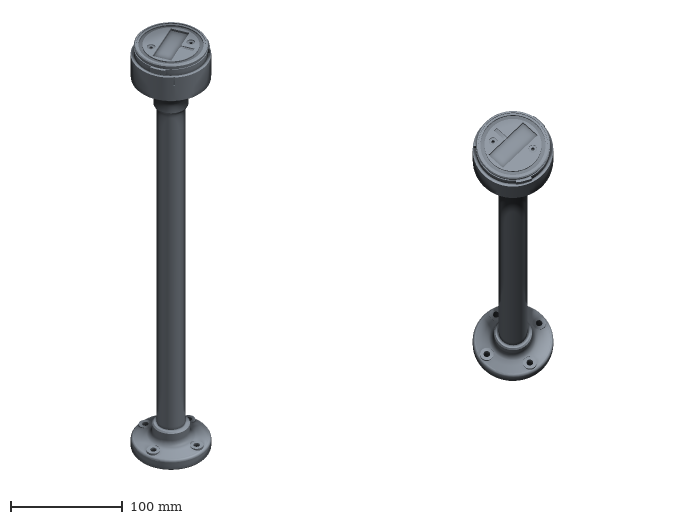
import cadquery as cq
import math

TOTAL_HEIGHT = 448.5
FLANGE_R = 72.0 / 2
POLE_DIA = 25.5
SOCKET_DEPTH = 13.5

BASE_BOTTOM_R = 70.5 / 2
BASE_BOTTOM_CHAMFER_HEIGHT = 1.5
BASE_EDGE_RADIUS = 2.5
BASE_CONE_R = FLANGE_R - BASE_EDGE_RADIUS
BASE_CONE_Z = 11.0
BASE_FLARE_R = 22.0
BASE_FLARE_Z = 14.0
BASE_NECK_R = 34.0 / 2
BASE_NECK_Z = 19.7
BASE_TOP_Z = 28.0
BASE_TOP_CHAMFER = 1.5

SCREW_SEAT_COUNT = 4
SCREW_SEAT_CIRCLE_R = 28.0
SCREW_SEAT_DIA = 12.0
SCREW_SEAT_Z = 13.5
SCREW_HOLE_DIA = 6.0

HEAD_BOTTOM_Z = 380.0
HEAD_BOTTOM_CHAMFER = 1.5
HEAD_CHAMFER_Z = 382.5
HEAD_NECK_R = 15.5
HEAD_NECK_TOP_Z = 392.5
FLARE_TOP_R = 34.0
FLARE_TOP_Z = 409.5
HEAD_LIP_STEP = 0.22
HEAD_LIP_BOTTOM_Z = 411.0
HEAD_LIP_TOP_Z = 413.5
SHOULDER_Z = 437.0
CAP_R = 66.5 / 2
CAP_CHAMFER = 1.0
WAIST_R = 65.0 / 2
WAIST_BOTTOM_Z = 444.0
WAIST_TOP_Z = 446.0

INDEX_X = 23.0
INDEX_WIDTH = 1.5
INDEX_LENGTH = 9.0
INDEX_DEPTH = 1.0

LUG_COUNT = 3
LUG_R = 70.0 / 2
LUG_START_ANGLE = 32.0
LUG_SPAN = 24.0
LUG_BOTTOM_Z = 439.0
LUG_STOP_R = 70.5 / 2
LUG_STOP_SPAN = 6.0

FACE_TILT = 13.0
RIM_INNER_DIA = 62.5
FACE_DEPTH = 1.0
RING_OUTER_DIA = 58.5
RING_INNER_DIA = 51.0
RING_DEPTH = 1.5
WINDOW_WIDTH = 18.0
WINDOW_LENGTH = 44.5
WINDOW_DEPTH = 2.2
CHANNEL_END = 22.0
CHANNEL_WIDTH = 3.5
CHANNEL_DEPTH = 1.0
FACE_HOLE_ACROSS = 15.2
FACE_HOLE_ALONG = 10.0
FACE_BORE_DIA = 7.5
FACE_BORE_DEPTH = 1.0
FACE_HOLE_DIA = 3.1
FACE_HOLE_DEPTH = 4.5

FACE_Z = TOTAL_HEIGHT - FACE_DEPTH
HALF_DIAGONAL = math.sqrt(0.5)


def cylinder(diameter, bottom_z, top_z, x=0, y=0):
    return cq.Workplane("XY", origin=(x, y, bottom_z)).circle(diameter / 2).extrude(top_z - bottom_z)


def tube(outer_dia, inner_dia, bottom_z, top_z):
    return cylinder(outer_dia, bottom_z, top_z).cut(cylinder(inner_dia, bottom_z, top_z))


def quarter_point(center_r, center_z, radius_r, radius_z):
    """Middle of a quarter arc; signed radii choose the quadrant."""
    return (center_r + radius_r * HALF_DIAGONAL, center_z + radius_z * HALF_DIAGONAL)


def revolve_about_z(profile):
    """Revolve a closed R-Z outline around the Z axis."""
    return profile.close().revolve(360, (0, 0, 0), (0, 1, 0))


def make_base():
    edge_z = BASE_CONE_Z - BASE_EDGE_RADIUS
    edge_middle = quarter_point(BASE_CONE_R, edge_z, BASE_EDGE_RADIUS, BASE_EDGE_RADIUS)
    flare_middle = quarter_point(
        BASE_FLARE_R, BASE_NECK_Z, BASE_NECK_R - BASE_FLARE_R, BASE_FLARE_Z - BASE_NECK_Z
    )
    base = revolve_about_z(
        cq.Workplane("XZ")
        .moveTo(0, 0)
        .lineTo(BASE_BOTTOM_R, 0)
        .lineTo(FLANGE_R, BASE_BOTTOM_CHAMFER_HEIGHT)
        .lineTo(FLANGE_R, edge_z)
        .threePointArc(edge_middle, (BASE_CONE_R, BASE_CONE_Z))
        .lineTo(BASE_FLARE_R, BASE_FLARE_Z)
        .threePointArc(flare_middle, (BASE_NECK_R, BASE_NECK_Z))
        .lineTo(BASE_NECK_R, BASE_TOP_Z - BASE_TOP_CHAMFER)
        .lineTo(BASE_NECK_R - BASE_TOP_CHAMFER, BASE_TOP_Z)
        .lineTo(0, BASE_TOP_Z)
    )
    for index in range(SCREW_SEAT_COUNT):
        angle = 2 * math.pi * index / SCREW_SEAT_COUNT
        base = add_screw_seat(
            base, SCREW_SEAT_CIRCLE_R * math.cos(angle), SCREW_SEAT_CIRCLE_R * math.sin(angle)
        )
    return base.cut(cylinder(POLE_DIA, BASE_TOP_Z - SOCKET_DEPTH, BASE_TOP_Z))


def add_screw_seat(base, x, y):
    """Flat round seat, level with or cut into the flange, with a through hole."""
    boss = cylinder(SCREW_SEAT_DIA, BASE_BOTTOM_CHAMFER_HEIGHT, SCREW_SEAT_Z, x, y)
    clearance = cylinder(SCREW_SEAT_DIA, SCREW_SEAT_Z, BASE_NECK_Z, x, y)
    hole = cylinder(SCREW_HOLE_DIA, 0, SCREW_SEAT_Z, x, y)
    return base.union(boss).cut(clearance).cut(hole)


def make_pole():
    return cylinder(POLE_DIA, BASE_TOP_Z - SOCKET_DEPTH, HEAD_BOTTOM_Z + SOCKET_DEPTH)


def make_head():
    head = make_head_blank()
    for index in range(LUG_COUNT):
        start_angle = LUG_START_ANGLE + 360 * index / LUG_COUNT
        stop_angle = start_angle + LUG_SPAN - LUG_STOP_SPAN
        head = head.union(make_ring_sector(LUG_R, start_angle, LUG_SPAN))
        head = head.union(make_ring_sector(LUG_STOP_R, stop_angle, LUG_STOP_SPAN))
    head = head.cut(make_index_slot())
    head = head.cut(make_face_cuts())
    return head.cut(cylinder(POLE_DIA, HEAD_BOTTOM_Z, HEAD_BOTTOM_Z + SOCKET_DEPTH))


def make_head_blank():
    flare_middle = quarter_point(
        FLARE_TOP_R, HEAD_NECK_TOP_Z, HEAD_NECK_R - FLARE_TOP_R, FLARE_TOP_Z - HEAD_NECK_TOP_Z
    )
    return revolve_about_z(
        cq.Workplane("XZ")
        .moveTo(0, HEAD_BOTTOM_Z)
        .lineTo(HEAD_NECK_R - HEAD_BOTTOM_CHAMFER, HEAD_BOTTOM_Z)
        .lineTo(HEAD_NECK_R, HEAD_CHAMFER_Z)
        .lineTo(HEAD_NECK_R, HEAD_NECK_TOP_Z)
        .threePointArc(flare_middle, (FLARE_TOP_R, FLARE_TOP_Z))
        .lineTo(FLANGE_R - HEAD_LIP_STEP, HEAD_LIP_BOTTOM_Z)
        .lineTo(FLANGE_R - HEAD_LIP_STEP, HEAD_LIP_TOP_Z)
        .lineTo(FLANGE_R, HEAD_LIP_TOP_Z)
        .lineTo(FLANGE_R, SHOULDER_Z)
        .lineTo(CAP_R, SHOULDER_Z)
        .lineTo(CAP_R, WAIST_BOTTOM_Z)
        .lineTo(WAIST_R, WAIST_BOTTOM_Z)
        .lineTo(WAIST_R, WAIST_TOP_Z)
        .lineTo(CAP_R, WAIST_TOP_Z)
        .lineTo(CAP_R, TOTAL_HEIGHT - CAP_CHAMFER)
        .lineTo(CAP_R - CAP_CHAMFER, TOTAL_HEIGHT)
        .lineTo(0, TOTAL_HEIGHT)
    )


def make_ring_sector(outer_r, start_angle, span):
    """Sector of a ring that stands out from the cap, as a bayonet lug or its stop."""
    return (
        cq.Workplane("XZ")
        .moveTo(WAIST_R, LUG_BOTTOM_Z)
        .lineTo(outer_r, LUG_BOTTOM_Z)
        .lineTo(outer_r, WAIST_BOTTOM_Z)
        .lineTo(WAIST_R, WAIST_BOTTOM_Z)
        .close()
        .revolve(span, (0, 0, 0), (0, 1, 0))
        .rotate((0, 0, 0), (0, 0, 1), start_angle)
    )


def make_index_slot():
    angle = -math.degrees(math.acos(INDEX_X / FLANGE_R))
    return (
        cq.Workplane("XY")
        .box(2 * INDEX_DEPTH, INDEX_WIDTH, INDEX_LENGTH)
        .translate((FLANGE_R, 0, SHOULDER_Z - INDEX_LENGTH / 2))
        .rotate((0, 0, 0), (0, 0, 1), angle)
    )


def make_face_cuts():
    """Everything sunk into the top of the head, turned together by the face tilt."""
    recess = cylinder(RIM_INNER_DIA, FACE_Z, TOTAL_HEIGHT)
    ring = tube(RING_OUTER_DIA, RING_INNER_DIA, FACE_Z - RING_DEPTH, FACE_Z)
    window = (
        cq.Workplane("XY", origin=(0, 0, FACE_Z - WINDOW_DEPTH))
        .rect(WINDOW_WIDTH, WINDOW_LENGTH)
        .extrude(WINDOW_DEPTH)
    )
    channel = (
        cq.Workplane("XY", origin=(CHANNEL_END / 2, 0, FACE_Z - CHANNEL_DEPTH))
        .rect(CHANNEL_END, CHANNEL_WIDTH)
        .extrude(CHANNEL_DEPTH)
    )
    cuts = recess.union(ring).union(window).union(channel)
    for side in (1, -1):
        x = side * FACE_HOLE_ACROSS
        y = side * FACE_HOLE_ALONG
        cuts = cuts.union(cylinder(FACE_BORE_DIA, FACE_Z - FACE_BORE_DEPTH, FACE_Z, x, y))
        cuts = cuts.union(cylinder(FACE_HOLE_DIA, FACE_Z - FACE_HOLE_DEPTH, FACE_Z, x, y))
    return cuts.rotate((0, 0, 0), (0, 0, 1), FACE_TILT)


base = make_base()
pole = make_pole()
head = make_head()

result = cq.Compound.makeCompound([base.val(), pole.val(), head.val()])